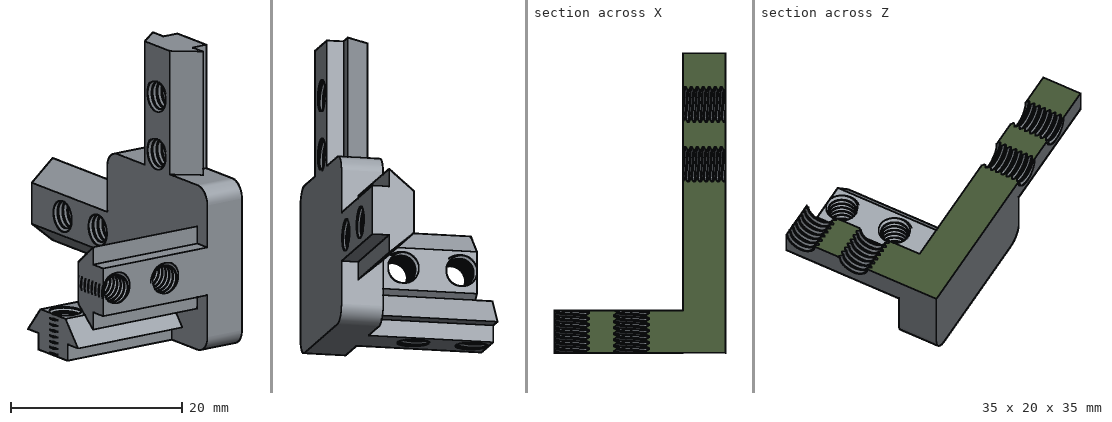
import cadquery as cq
import math

PLATE_SIDE = 20.0
PLATE_THICKNESS = 5.0
CORNER_RADIUS = 2.0

RAIL_LENGTH = 15.0
RAIL_HEIGHT = PLATE_THICKNESS
FACE_WIDTH = 5.0
BARB_WIDTH = 10.0
STEM_WIDTH = 5.8
STEM_HEIGHT = 2.0

BORE_DIAMETER = 3.33
THREAD_DIAMETER = 4.11
THREAD_PITCH = 0.7
THREAD_ROOT_WIDTH = THREAD_PITCH / 8
THREAD_FLANK_ANGLE = 30.0
FIRST_HOLE = 2.0
HOLE_SPACING = 7.0
HOLE_COUNT = 2

THREAD_TURNS = 10
THREAD_RUNOUT = 1.5 * THREAD_PITCH
BORE_RUNOUT = 1.0
GROOVE_OVERLAP = 0.05

ORIGIN = (0, 0, 0)
X_AXIS = (1, 0, 0)
Y_AXIS = (0, 1, 0)


def make_plate():
    plate = cq.Workplane("XZ").rect(PLATE_SIDE, PLATE_SIDE).extrude(PLATE_THICKNESS)
    return plate.edges("|Y").fillet(CORNER_RADIUS)


def make_bore():
    """Plain cylinder along Z, longer than the rail is high."""
    bore = cq.Workplane("XY").circle(BORE_DIAMETER / 2).extrude(RAIL_HEIGHT + 2 * BORE_RUNOUT)
    return bore.translate((0, 0, -BORE_RUNOUT))


def make_thread_groove():
    """Trapezoidal helical groove around Z that enlarges the bore to the thread diameter."""
    bore_radius = BORE_DIAMETER / 2
    outer_radius = THREAD_DIAMETER / 2
    inner_radius = bore_radius - GROOVE_OVERLAP
    flank_width = (outer_radius - inner_radius) * math.tan(math.radians(THREAD_FLANK_ANGLE))
    half_root = THREAD_ROOT_WIDTH / 2
    half_mouth = half_root + flank_width
    section = [
        (inner_radius, -half_mouth),
        (outer_radius, -half_root),
        (outer_radius, half_root),
        (inner_radius, half_mouth),
    ]
    helix = cq.Wire.makeHelix(THREAD_PITCH, THREAD_TURNS * THREAD_PITCH, bore_radius)
    groove = cq.Workplane("XZ").polyline(section).close().sweep(cq.Workplane(helix), isFrenet=True)
    return groove.translate((0, 0, -THREAD_RUNOUT))


def make_rail():
    """Rail along +Y from Y = 0, stem on Z = 0, narrow face up; holes are set out from Y = 0."""
    right_side = [
        (STEM_WIDTH / 2, 0),
        (STEM_WIDTH / 2, STEM_HEIGHT),
        (BARB_WIDTH / 2, STEM_HEIGHT),
        (FACE_WIDTH / 2, RAIL_HEIGHT),
    ]
    left_side = [(-x, z) for x, z in reversed(right_side)]
    body = cq.Workplane("XZ").polyline(right_side + left_side).close().extrude(-RAIL_LENGTH)
    bore = make_bore()
    groove = make_thread_groove()
    for index in range(HOLE_COUNT):
        place = (0, FIRST_HOLE + index * HOLE_SPACING, 0)
        body = body.cut(groove.translate(place))
        body = body.cut(bore.translate(place))
    return body


def turn(body, axis, angle):
    return body.rotate(ORIGIN, axis, angle)


rail = make_rail()
half_side = PLATE_SIDE / 2

top_rail = turn(rail, X_AXIS, 90).translate((0, 0, half_side))
left_rail = turn(top_rail, Y_AXIS, -90)

bottom_rail = rail.translate((0, -PLATE_THICKNESS - RAIL_LENGTH, -half_side))
right_rail = turn(bottom_rail, Y_AXIS, -90).mirror("XY")

result = make_plate()
for placed_rail in (top_rail, left_rail, bottom_rail, right_rail):
    result = result.union(placed_rail)